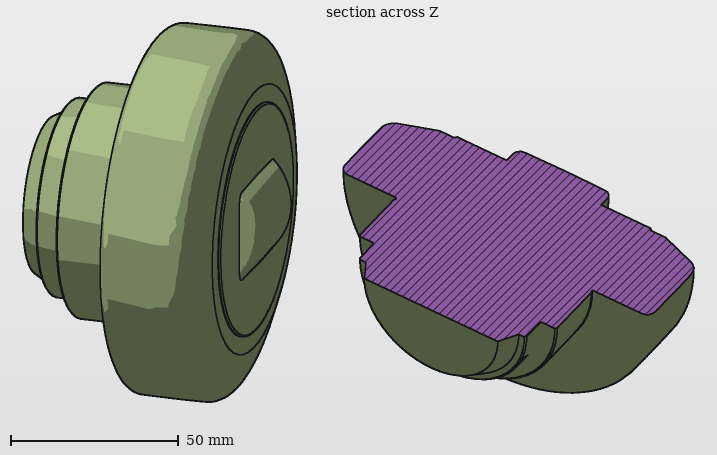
import cadquery as cq
import math


overall_length = 71.6
stud_cone_length = 6.0
body_start = 14.1
body_end = 33.1
wheel_start = 33.82
wheel_width = 31.0
hub_lip = 0.75
wheel_end = wheel_start + wheel_width
hub_end = wheel_end + hub_lip

stud_tip_radius = 24.0
stud_cone_angle = math.radians(30)
collar_radius = 60.0 / 2
body_radius = 71.0 / 2
hub_radius = 70.5 / 2
edge_chamfer = 0.5
collar_root_fillet = 0.5

wheel_radius = 111.8 / 2
wheel_crown_radius = 500.0
wheel_inner_fillet = 3.0
wheel_outer_fillet = 5.0
wheel_bevel_angle = math.radians(20)
wheel_face_radius = 40.8

roller_radius = 20.0
roller_width = 34.0
roller_crown_radius = 450.0
roller_fillet = 2.5
roller_center_x = overall_length - roller_radius


def crown_drop(crown_radius, offset):
    """Radial drop of a crowned tread at an axial offset from its highest circle."""
    return crown_radius - math.sqrt(crown_radius**2 - offset**2)


def make_hub():
    """Stud cone, collar, body and hub core, turned about X."""
    cone_base_radius = stud_tip_radius + stud_cone_length * math.tan(stud_cone_angle)
    root_mid = collar_root_fillet * (1 - math.sqrt(0.5))
    profile = (
        cq.Workplane("XY")
        .moveTo(0, 0)
        .lineTo(0, stud_tip_radius)
        .lineTo(stud_cone_length, cone_base_radius)
        .lineTo(stud_cone_length, collar_radius - edge_chamfer)
        .lineTo(stud_cone_length + edge_chamfer, collar_radius)
        .lineTo(body_start - collar_root_fillet, collar_radius)
        .threePointArc(
            (body_start - root_mid, collar_radius + root_mid),
            (body_start, collar_radius + collar_root_fillet),
        )
        .lineTo(body_start, body_radius - edge_chamfer)
        .lineTo(body_start + edge_chamfer, body_radius)
        .lineTo(body_end, body_radius)
        .lineTo(body_end, hub_radius)
        .lineTo(hub_end - edge_chamfer, hub_radius)
        .lineTo(hub_end, hub_radius - edge_chamfer)
        .lineTo(hub_end, 0)
        .close()
    )
    return profile.revolve(360, (0, 0, 0), (1, 0, 0))


def make_wheel():
    """Crowned main wheel with a bevelled outer side and rounded edges."""
    tread_start = wheel_start + wheel_inner_fillet
    bevel_slope = 1 / math.tan(wheel_bevel_angle)
    bevel_start = wheel_end - (wheel_radius - wheel_face_radius) / bevel_slope
    tread_end = bevel_start - wheel_outer_fillet * math.tan((math.pi / 2 - wheel_bevel_angle) / 2)
    crown_x = (tread_start + tread_end) / 2

    start_radius = wheel_radius - crown_drop(wheel_crown_radius, crown_x - wheel_start)
    bevel_radius = wheel_radius - crown_drop(wheel_crown_radius, bevel_start - crown_x)
    bevel_foot_radius = bevel_radius - (wheel_end - bevel_start) * bevel_slope
    profile = (
        cq.Workplane("XY")
        .moveTo(wheel_start, 0)
        .lineTo(wheel_start, start_radius)
        .threePointArc((crown_x, wheel_radius), (bevel_start, bevel_radius))
        .lineTo(wheel_end, bevel_foot_radius)
        .lineTo(wheel_end, 0)
        .close()
    )
    wheel = profile.revolve(360, (0, 0, 0), (1, 0, 0))
    wheel = wheel.faces("<X").edges().fillet(wheel_inner_fillet)
    bevel_edge = cq.selectors.NearestToPointSelector((bevel_start, 0, 0))
    return wheel.edges("%CIRCLE").edges(bevel_edge).fillet(wheel_outer_fillet)


def make_roller():
    """Crowned side roller with rounded edges, turned about an axis parallel to Y."""
    half_width = roller_width / 2
    end_radius = roller_radius - crown_drop(roller_crown_radius, half_width)
    profile = (
        cq.Workplane("XY")
        .moveTo(roller_center_x, -half_width)
        .lineTo(roller_center_x + end_radius, -half_width)
        .threePointArc(
            (overall_length, 0),
            (roller_center_x + end_radius, half_width),
        )
        .lineTo(roller_center_x, half_width)
        .close()
    )
    roller = profile.revolve(360, (roller_center_x, 0, 0), (roller_center_x, 1, 0))
    return roller.faces("<Y or >Y").edges().fillet(roller_fillet)


result = make_hub().union(make_wheel()).union(make_roller())